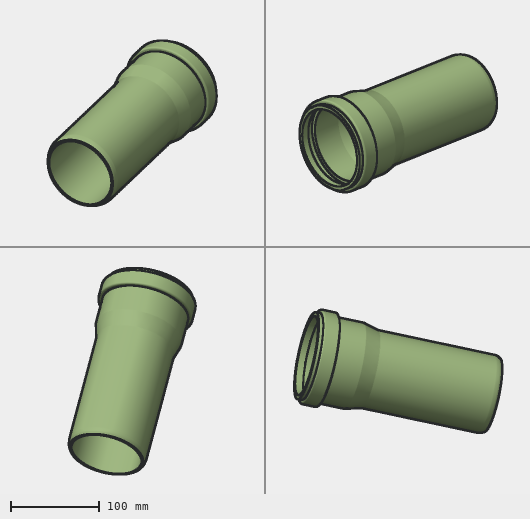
import cadquery as cq
import math

total_length = 217.0
spigot_round_length = 7.4
taper_start = 143.5
taper_end = 161.5
collar_start = 193.3
collar_end = 212.0

wall = 4.5
pipe_radius = 90.0 / 2
spigot_tip_radius = 85.0 / 2
socket_radius = 99.5 / 2
lip_radius = 100.0 / 2
collar_radius = 109.0 / 2
seal_groove_radius = 100.3 / 2

collar_fillet = 2.2
taper_blend = 2.5
edge_margin = 0.2

collar_wall = collar_radius - seal_groove_radius
groove_start = collar_start + collar_wall
groove_end = collar_end - collar_wall


def spigot_arc_middle():
    """Middle of the end rounding, an arc tangent to the pipe wall."""
    drop = pipe_radius - spigot_tip_radius
    radius = (spigot_round_length**2 + drop**2) / (2 * drop)
    half_angle = math.asin(spigot_round_length / radius) / 2
    return (
        pipe_radius - radius * (1 - math.cos(half_angle)),
        spigot_round_length - radius * math.sin(half_angle),
    )


def revolve_profile(profile):
    return profile.close().revolve(360, (0, 0, 0), (0, 1, 0))


def make_outer_body():
    """Solid outer shape: rounded spigot, taper, socket and lip."""
    body = revolve_profile(
        cq.Workplane("XY")
        .lineTo(spigot_tip_radius, 0)
        .threePointArc(spigot_arc_middle(), (pipe_radius, spigot_round_length))
        .lineTo(pipe_radius, taper_start)
        .lineTo(socket_radius, taper_end)
        .lineTo(socket_radius, collar_start)
        .lineTo(lip_radius, collar_start)
        .lineTo(lip_radius, total_length)
        .lineTo(0, total_length)
    )
    for station, radius in ((taper_start, pipe_radius), (taper_end, socket_radius)):
        reach = radius + edge_margin
        corner = cq.selectors.BoxSelector(
            (-reach, station - edge_margin, -reach),
            (reach, station + edge_margin, reach),
            boundingbox=True,
        )
        body = body.edges(corner).edges("%CIRCLE").fillet(taper_blend)
    return body


def make_collar():
    """Rounded ring around the socket that houses the seal groove."""
    collar = (
        cq.Workplane("XZ", origin=(0, collar_start, 0))
        .circle(collar_radius)
        .extrude(collar_start - collar_end)
    )
    return collar.edges("%CIRCLE").fillet(collar_fillet)


def make_bore():
    """Stepped bore following the outer wall, with the seal groove."""
    pipe_bore = pipe_radius - wall
    socket_bore = socket_radius - wall
    lip_bore = lip_radius - wall
    return revolve_profile(
        cq.Workplane("XY")
        .lineTo(pipe_bore, 0)
        .lineTo(pipe_bore, taper_start)
        .lineTo(socket_bore, taper_end)
        .lineTo(socket_bore, groove_start)
        .lineTo(seal_groove_radius, groove_start)
        .lineTo(seal_groove_radius, groove_end)
        .lineTo(lip_bore, groove_end)
        .lineTo(lip_bore, total_length)
        .lineTo(0, total_length)
    )


result = make_outer_body().union(make_collar()).cut(make_bore())